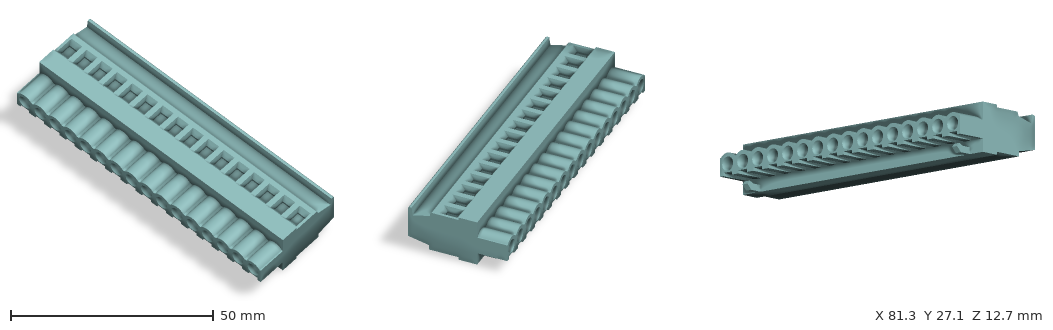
import cadquery as cq
import math

pole_count = 16
length = 81.3
pitch = length / pole_count
depth = 27.1
height = 12.7
overlap = 0.8

plug_length = 8.2
rib_back = 13.3
deck_back = 21.0
foot_back = 21.4
lip_thickness = 1.0
lip_root_thickness = 1.3
lip_chamfer = 0.3

foot_step = 0.7
underside_front = 2.0
underside_back = 3.2
deck_top = 11.95
slope_front = 10.9
slope_back = 9.7
deck_chamfer = 0.3

plug_bottom = 3.4
plug_flat = 8.1
barrel_radius = 2.85
socket_axis_z = 6.3
socket_mouth_diameter = 3.65
socket_end_diameter = 1.6
socket_depth = 2.85
keyway_width = 2.9
keyway_top = 4.2

window_width = 3.6
window_front = 13.9
window_back = 19.3
window_floor_width = 2.8
window_floor_front = 14.95
window_floor_back = 18.05
window_funnel_depth = 1.2
window_depth = 1.8

latch_width = 1.7
latch_edge_distance = 4.3
latch_thickness = 1.7
latch_bend_y = 5.6
latch_peak_y = 4.3
latch_peak_z = 2.3
latch_tip_y = 3.5
latch_tip_z = 1.4
latch_toe_y = 4.9

pole_positions = [pitch * (pole + 0.5) for pole in range(pole_count)]


def extrude_section(points, start_x, width):
    """Extrude a closed (Y, Z) section along +X."""
    return cq.Workplane("YZ", origin=(start_x, 0, 0)).polyline(points).close().extrude(width)


def make_housing():
    section = [
        (plug_length, 0),
        (rib_back, 0),
        (rib_back, foot_step),
        (foot_back, foot_step),
        (foot_back, underside_front),
        (depth, underside_back),
        (depth, deck_top - lip_chamfer),
        (depth - lip_chamfer, deck_top),
        (depth - lip_thickness, deck_top),
        (depth - lip_root_thickness, slope_back),
        (deck_back + deck_chamfer / 2, slope_front),
        (deck_back, deck_top - deck_chamfer),
        (deck_back - deck_chamfer, deck_top),
        (rib_back, deck_top),
        (rib_back, height),
        (plug_length, height),
    ]
    return extrude_section(section, 0, length)


def make_plug():
    """Bar of joined half-round barrels, each with a groove along its underside."""
    arc_half_width = math.sqrt(barrel_radius**2 - (plug_flat - socket_axis_z) ** 2)
    half_keyway = keyway_width / 2
    outline = cq.Workplane("XZ").moveTo(0, plug_bottom).lineTo(0, plug_flat)
    for x in pole_positions:
        outline = outline.lineTo(x - arc_half_width, plug_flat)
        outline = outline.threePointArc(
            (x, socket_axis_z + barrel_radius), (x + arc_half_width, plug_flat)
        )
    outline = outline.lineTo(length, plug_flat).lineTo(length, plug_bottom)
    for x in reversed(pole_positions):
        outline = outline.lineTo(x + half_keyway, plug_bottom)
        outline = outline.lineTo(x + half_keyway, keyway_top)
        outline = outline.lineTo(x - half_keyway, keyway_top)
        outline = outline.lineTo(x - half_keyway, plug_bottom)
    return outline.close().extrude(-(plug_length + overlap))


def make_socket(x):
    """Tapered contact hole, narrowing from the plug face inwards."""
    return cq.Solid.makeCone(
        socket_mouth_diameter / 2,
        socket_end_diameter / 2,
        socket_depth,
        pnt=cq.Vector(x, 0, socket_axis_z),
        dir=cq.Vector(0, 1, 0),
    )


def make_window(x):
    """Funnel with four sloping walls that runs into a short straight pocket."""
    mouth_y = (window_front + window_back) / 2
    floor_y = (window_floor_front + window_floor_back) / 2
    return (
        cq.Workplane("XY", origin=(x, mouth_y, deck_top))
        .rect(window_width, window_back - window_front)
        .workplane(offset=-window_funnel_depth)
        .center(0, floor_y - mouth_y)
        .rect(window_floor_width, window_floor_back - window_floor_front)
        .loft(combine=True)
        .faces("<Z")
        .wires()
        .toPending()
        .workplane()
        .extrude(window_depth - window_funnel_depth)
    )


def make_latch(start_x):
    section = [
        (plug_length + overlap, 0),
        (latch_toe_y, 0),
        (latch_tip_y, latch_tip_z),
        (latch_peak_y, latch_peak_z),
        (latch_bend_y, latch_thickness),
        (plug_length + overlap, latch_thickness),
    ]
    return extrude_section(section, start_x, latch_width)


result = make_housing().union(make_plug())

for pole_x in pole_positions:
    result = result.cut(make_socket(pole_x))
    result = result.cut(make_window(pole_x))

for latch_x in (latch_edge_distance, length - latch_edge_distance - latch_width):
    result = result.union(make_latch(latch_x))